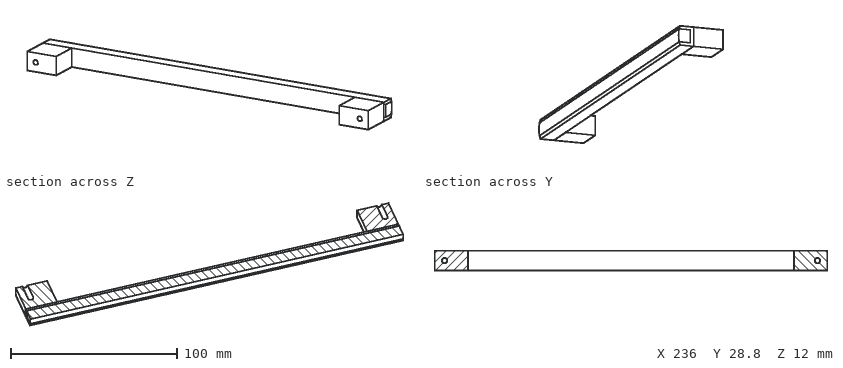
import cadquery as cq
import math

LENGTH = 236.0
DEPTH = 28.8
HEIGHT = 12.0

FOOT_LENGTH = 20.0
FOOT_DEPTH = 19.0

CROWN_RISE = 1.06
STRIP_HEIGHT = 8.0
WALL_BEHIND_STRIP = 2.1

HOLE_DIAMETER = 3.0
HOLE_DEPTH = 11.8
HOLE_END_INSET = 6.0
DRILL_POINT_ANGLE = 118.0

CROWN_EDGE_Y = DEPTH - CROWN_RISE
STRIP_FLOOR_Y = FOOT_DEPTH + WALL_BEHIND_STRIP
HALF_LENGTH = LENGTH / 2
HALF_HEIGHT = HEIGHT / 2


def make_crowned_bar():
    """Full-length bar with an arched outer face, before the groove is cut."""
    return (
        cq.Workplane("YZ", origin=(-HALF_LENGTH, 0, 0))
        .moveTo(FOOT_DEPTH, -HALF_HEIGHT)
        .lineTo(CROWN_EDGE_Y, -HALF_HEIGHT)
        .threePointArc((DEPTH, 0), (CROWN_EDGE_Y, HALF_HEIGHT))
        .lineTo(FOOT_DEPTH, HALF_HEIGHT)
        .close()
        .extrude(LENGTH)
    )


def make_groove_space():
    """Block covering the groove from its floor to the top of the crown."""
    return cq.Workplane("XY").box(
        LENGTH, DEPTH - STRIP_FLOOR_Y, STRIP_HEIGHT, centered=(True, False, True)
    ).translate((0, STRIP_FLOOR_Y, 0))


def make_bar():
    """Bar with the groove that holds the strip."""
    return make_crowned_bar().cut(make_groove_space())


def make_strip():
    """Strip that fills the groove and continues the crown of the bar."""
    return make_crowned_bar().intersect(make_groove_space())


def make_screw_hole(center_x):
    """Drilled hole along Y, ending in a conical drill point."""
    radius = HOLE_DIAMETER / 2
    point_length = radius / math.tan(math.radians(DRILL_POINT_ANGLE / 2))
    return (
        cq.Workplane("XY")
        .polyline([(0, 0), (radius, 0), (radius, HOLE_DEPTH), (0, HOLE_DEPTH + point_length)])
        .close()
        .revolve(360, (0, 0, 0), (0, 1, 0))
        .translate((center_x, 0, 0))
    )


def make_foot(side):
    """Foot flush with one end of the bar; side is -1 or +1 along X."""
    center_x = side * (HALF_LENGTH - FOOT_LENGTH / 2)
    hole_x = side * (HALF_LENGTH - HOLE_END_INSET)
    block = cq.Workplane("XY").box(
        FOOT_LENGTH, FOOT_DEPTH, HEIGHT, centered=(True, False, True)
    ).translate((center_x, 0, 0))
    return block.cut(make_screw_hole(hole_x))


bar = make_bar()
strip = make_strip()
feet = [make_foot(side).solids().val() for side in (-1, 1)]

result = cq.Compound.makeCompound([bar.solids().val(), strip.solids().val(), *feet])